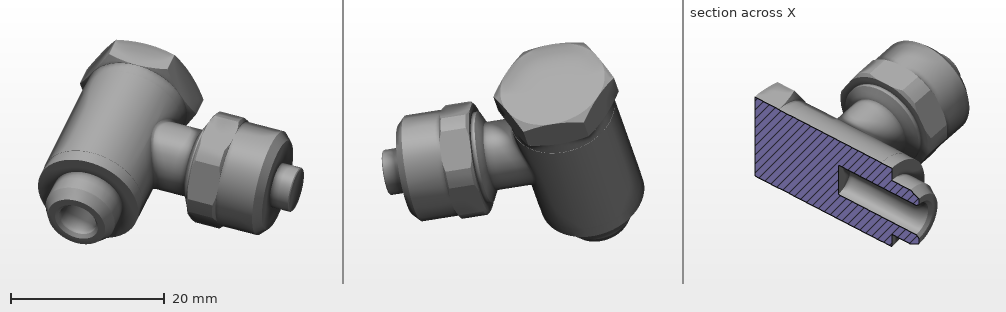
import cadquery as cq
import math


overall_length = 33.08

across_flats = 14.0

head_length = 4.0
head_front_y = 7.85
head_back_y = head_front_y + head_length
head_bevel_angle = 30

body_diameter = 13.95
washer_diameter = 13.9
washer_length = 1.72
body_front_y = -10.72

stub_diameter = 9.6
stub_length = 4.43
stub_bevel_length = 1.4
stub_tip_diameter = 7.95
bore_diameter = 5.1
bore_mouth_diameter = 5.95
bore_depth = 13.23
stub_tip_y = body_front_y - stub_length

neck_diameter = 9.0
neck_fillet = 0.4
collar_diameter = 12.05
collar_start_x = 11.0
collar_bevel_end_x = 11.8
nut_start_x = 12.35
nut_length = 4.0
nut_turned_diameter = 15.0
nut_bevel_length = 0.33
nut_bevel_depth = 0.4
sleeve_diameter = 14.0
sleeve_end_x = 22.35
sleeve_chamfer = 1.0
tube_diameter = 5.95
tube_chamfer = 0.13

hexagon_corner_radius = across_flats / math.sqrt(3)
tube_end_x = overall_length - hexagon_corner_radius
nut_end_x = nut_start_x + nut_length


def cylinder_y(diameter, start_y, end_y):
    plane = cq.Workplane("XZ", origin=(0, start_y, 0))
    return plane.circle(diameter / 2).extrude(start_y - end_y)


def cylinder_x(diameter, start_x, end_x):
    plane = cq.Workplane("YZ", origin=(start_x, 0, 0))
    return plane.circle(diameter / 2).extrude(end_x - start_x)


def revolve_y(profile):
    """Turn a closed (radius, y) profile about the body axis."""
    return cq.Workplane("XY").polyline(profile).close().revolve(360, (0, 0), (0, 1))


def revolve_x(profile):
    """Turn a closed (x, radius) profile about the branch axis."""
    return cq.Workplane("XY").polyline(profile).close().revolve(360, (0, 0), (1, 0))


def make_head():
    hexagon = cq.Workplane("XZ", origin=(0, head_back_y, 0)).polygon(6, 2 * hexagon_corner_radius)
    flat_radius = across_flats / 2
    bevel_length = (hexagon_corner_radius - flat_radius) * math.tan(math.radians(head_bevel_angle))
    turned_envelope = revolve_y([
        (0, head_front_y),
        (flat_radius, head_front_y),
        (hexagon_corner_radius, head_front_y + bevel_length),
        (hexagon_corner_radius, head_back_y - bevel_length),
        (flat_radius, head_back_y),
        (0, head_back_y),
    ])
    return hexagon.extrude(head_length).intersect(turned_envelope)


def make_body_and_neck():
    front_washer_y = body_front_y + washer_length
    back_washer_y = head_front_y - washer_length
    body = cylinder_y(body_diameter, front_washer_y, back_washer_y)
    body = body.union(cylinder_x(neck_diameter, 0, collar_start_x))
    body_radius = body_diameter / 2
    junction = cq.selectors.BoxSelector(
        (body_radius / 2, -neck_diameter / 2, -neck_diameter / 2),
        (body_radius, neck_diameter / 2, neck_diameter / 2),
    )
    body = body.edges(junction).fillet(neck_fillet)
    for start_y in (body_front_y, back_washer_y):
        body = body.union(cylinder_y(washer_diameter, start_y, start_y + washer_length))
    return body


def make_stub():
    bevel_start_y = stub_tip_y + stub_bevel_length
    return revolve_y([
        (0, stub_tip_y),
        (stub_tip_diameter / 2, stub_tip_y),
        (stub_diameter / 2, bevel_start_y),
        (stub_diameter / 2, body_front_y),
        (0, body_front_y),
    ])


def make_bore():
    mouth_radius = bore_mouth_diameter / 2
    bore_radius = bore_diameter / 2
    mouth_depth = mouth_radius - bore_radius
    return revolve_y([
        (0, stub_tip_y),
        (mouth_radius, stub_tip_y),
        (bore_radius, stub_tip_y + mouth_depth),
        (bore_radius, stub_tip_y + bore_depth),
        (0, stub_tip_y + bore_depth),
    ])


def make_collar():
    return revolve_x([
        (collar_start_x, 0),
        (collar_start_x, neck_diameter / 2),
        (collar_bevel_end_x, collar_diameter / 2),
        (nut_start_x, collar_diameter / 2),
        (nut_start_x, 0),
    ])


def make_nut():
    hexagon = cq.Workplane("YZ", origin=(nut_start_x, 0, 0)).polygon(6, 2 * hexagon_corner_radius)
    turned_envelope = (
        cylinder_x(nut_turned_diameter, nut_start_x, nut_end_x)
        .faces("<X or >X")
        .chamfer(nut_bevel_length, nut_bevel_depth)
    )
    return hexagon.extrude(nut_length).intersect(turned_envelope)


def make_sleeve_and_tube():
    sleeve = cylinder_x(sleeve_diameter, nut_end_x, sleeve_end_x)
    sleeve = sleeve.faces(">X").chamfer(sleeve_chamfer)
    tube = cylinder_x(tube_diameter, sleeve_end_x, tube_end_x)
    return sleeve.union(tube.faces(">X").chamfer(tube_chamfer))


result = make_body_and_neck()
for section in (make_head(), make_stub(), make_collar(), make_nut(), make_sleeve_and_tube()):
    result = result.union(section)
result = result.cut(make_bore())